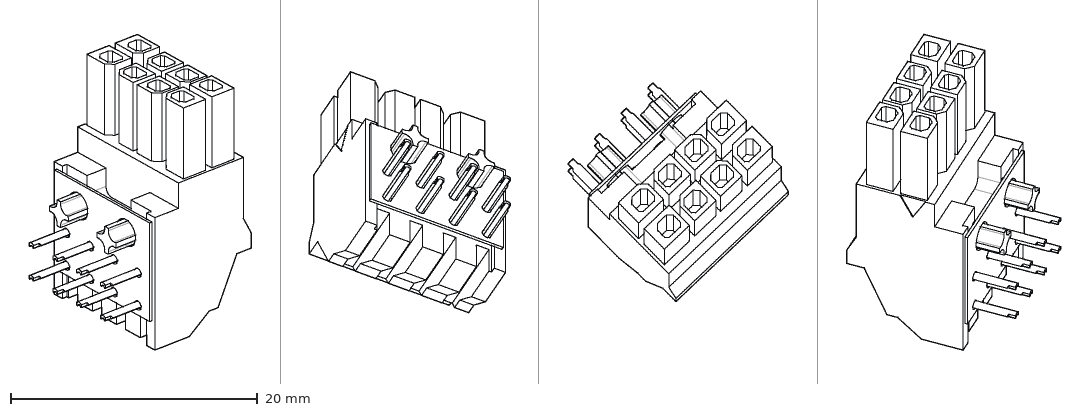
import cadquery as cq
import math


pitch = 3.0
column_count = 4
columns = [(i - (column_count - 1) / 2) * pitch for i in range(column_count)]

housing_width = 12.7
total_height = 20.98
housing_top = 14.48
shoulder_height = 12.15
shoulder_depth = 2.5
back_y = 9.38
latch_y = 10.22
latch_ramp_top = 8.87
latch_ramp_bottom = 7.25
latch_bottom = 5.87
rear_slope_top_y = 8.69
rear_slope_bottom_y = 6.7
lower_slope_top_y = 5.75
bottom_depth = 3.65
lower_step_height = 1.62
slot_width = 1.13

recess_width = 10.62
recess_depth = 0.48

plate_width = column_count * pitch
plate_thickness = 0.25
plate_bottom = 2.55
plate_top = 11.6

peg_radius = 1.2
peg_z = 9.5
peg_tip_y = -2.3
peg_arm_half = 0.23
peg_flute_radius = 0.73

pin_half_width = 0.42
pin_crown = 0.34
pin_foot = 0.08
pin_tip_half_width = 0.3
pin_groove_half_width = 0.2
pin_groove_top = 0.08
pin_tip_y = -3.95
pin_taper_end_y = -3.38
pin_taper_start_y = pin_taper_end_y + pin_half_width - pin_tip_half_width
pin_hole_radius = 0.4
lower_row_z = 3.45
hole_rows = [lower_row_z, lower_row_z + pitch]

shroud_depth = 2.35
front_row_y = 4.43
back_row_y = front_row_y + pitch
outer_shroud_span = (3.27, 6.08)
inner_shroud_span = (0.25, 2.66)
inner_shroud_top = 20.75
shroud_chamfer = 0.6
bore_width = 1.78
bore_depth = 1.5
bore_back_chamfer = 0.25
bore_front_chamfer = 0.4

mark_side = 2.22
mark_depth = 0.08


def box(x_range, y_range, z_range):
    """Axis-aligned block between the given limits."""
    size = [abs(b - a) for a, b in (x_range, y_range, z_range)]
    centre = [(a + b) / 2 for a, b in (x_range, y_range, z_range)]
    return cq.Workplane("XY").box(*size).translate(tuple(centre))


def centred(width, middle=0.0):
    """Limits of a span of the given width about its middle."""
    return (middle - width / 2, middle + width / 2)


def make_housing():
    profile = [
        (0, 0),
        (0, shoulder_height),
        (shoulder_depth, shoulder_height),
        (shoulder_depth, housing_top),
        (back_y, housing_top),
        (back_y, latch_ramp_top),
        (latch_y, latch_ramp_bottom),
        (latch_y, latch_bottom),
        (rear_slope_top_y, latch_bottom),
        (rear_slope_bottom_y, lower_step_height),
        (lower_slope_top_y, lower_step_height),
        (bottom_depth, 0),
    ]
    housing = cq.Workplane("YZ").polyline(profile).close().extrude(housing_width / 2, both=True)
    housing = housing.cut(box(centred(recess_width), (0, recess_depth), (0, housing_top)))
    for x in columns:
        housing = housing.cut(box(centred(slot_width, x), (0, latch_y), (0, plate_bottom)))
    return housing.cut(make_window()).cut(make_mark())


def make_window():
    """Notch in the shoulder between the pegs; its lower corners continue the peg flutes."""
    half_width = pitch - peg_arm_half
    floor_z = peg_z + peg_arm_half
    window = box((-half_width, half_width), (0, shoulder_depth), (floor_z, shoulder_height))
    return window.edges("|Y and <Z").fillet(peg_flute_radius)


def make_mark():
    height = mark_side * math.sqrt(3) / 2
    return (
        cq.Workplane("YZ", origin=(-housing_width / 2, front_row_y, housing_top))
        .polyline([(-mark_side / 2, 0), (mark_side / 2, 0), (0, -height)])
        .close()
        .extrude(mark_depth)
    )


def make_plate():
    plate = box(centred(plate_width), (-plate_thickness, 0), (plate_bottom, plate_top))
    peg_points = [(x, peg_z) for x in (-pitch, pitch)]
    pin_points = [(x, z) for x in columns for z in hole_rows]
    peg_holes = cq.Workplane("XZ").pushPoints(peg_points).circle(peg_radius).extrude(plate_thickness)
    pin_holes = cq.Workplane("XZ").pushPoints(pin_points).circle(pin_hole_radius).extrude(plate_thickness)
    return plate.cut(peg_holes).cut(pin_holes)


def make_peg(x):
    length = recess_depth - peg_tip_y
    peg = cq.Workplane("XZ").circle(peg_radius).extrude(length)
    flute = (
        cq.Workplane("XZ")
        .rect(peg_radius, peg_radius, centered=False)
        .extrude(length)
        .edges("|Y and <X and <Z")
        .fillet(peg_flute_radius)
        .translate((peg_arm_half, 0, peg_arm_half))
    )
    for quarter in range(4):
        peg = peg.cut(flute.rotate((0, 0, 0), (0, 1, 0), 90 * quarter))
    return peg.translate((x, recess_depth, peg_z))


def make_pin(x, z):
    section = (
        cq.Workplane("XZ", origin=(0, recess_depth, 0))
        .moveTo(-pin_half_width, 0)
        .threePointArc((0, pin_crown), (pin_half_width, 0))
        .lineTo(pin_groove_half_width, -pin_foot)
        .threePointArc((0, pin_groove_top), (-pin_groove_half_width, -pin_foot))
        .close()
        .extrude(recess_depth - pin_tip_y)
    )
    right_side = [
        (pin_half_width, recess_depth),
        (pin_half_width, pin_taper_start_y),
        (pin_tip_half_width, pin_taper_end_y),
        (pin_tip_half_width, pin_tip_y),
    ]
    left_side = [(-px, py) for px, py in reversed(right_side)]
    plan = (
        cq.Workplane("XY", origin=(0, 0, -pin_foot))
        .polyline(right_side + left_side)
        .close()
        .extrude(pin_foot + pin_crown)
    )
    return section.intersect(plan).translate((x, 0, z))


def make_shroud(column, row_y):
    """Hollow shroud on one column; every one but the back right has a chamfered front corner."""
    x = columns[column]
    side = math.copysign(1, x)
    is_outer = abs(x) > pitch
    span = outer_shroud_span if is_outer else inner_shroud_span
    top = total_height if is_outer else inner_shroud_top
    x_range = sorted(side * limit for limit in span)
    shroud = box(x_range, centred(shroud_depth, row_y), (housing_top, top))
    is_back_right = column == column_count - 1 and row_y == back_row_y
    if not is_back_right:
        chamfered_side = ">X" if column % 2 == 0 else "<X"
        shroud = shroud.edges(f"|Z and <Y and {chamfered_side}").chamfer(shroud_chamfer)
    bore = box(centred(bore_width, x), centred(bore_depth, row_y), (housing_top, top))
    bore = bore.edges("|Z and >Y").chamfer(bore_back_chamfer)
    bore = bore.edges("|Z and <Y").chamfer(bore_front_chamfer)
    return shroud.cut(bore)


result = make_housing().union(make_plate())
for peg_x in (-pitch, pitch):
    result = result.union(make_peg(peg_x))
for column, column_x in enumerate(columns):
    for hole_z in hole_rows:
        result = result.union(make_pin(column_x, hole_z))
    for row_y in (front_row_y, back_row_y):
        result = result.union(make_shroud(column, row_y))